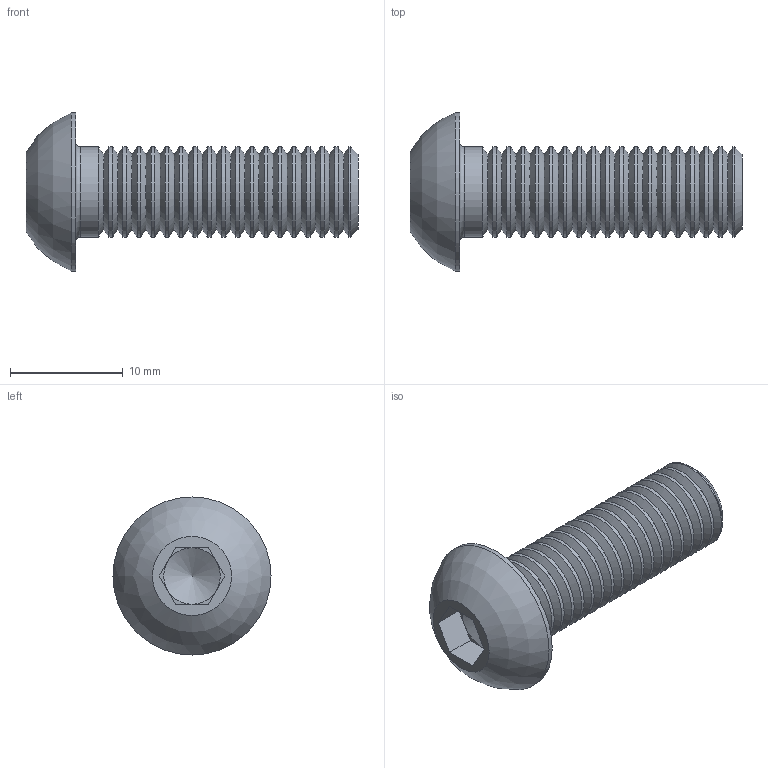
import cadquery as cq
import math


head_diameter = 14.0
head_height = 4.4
head_flat_diameter = 7.0
rim_width = 0.4

shank_diameter = 8.0
shank_length = 25.0
plain_length = 2.0
neck_fillet = 0.4
pitch = 1.25
groove_depth = 0.677
crest_width = pitch / 4
groove_width = pitch - crest_width
groove_count = 18
end_chamfer = groove_depth

socket_across_flats = 5.0
socket_depth = 2.6
socket_tip_angle = 120.0

head_radius = head_diameter / 2
head_flat_radius = head_flat_diameter / 2
shank_radius = shank_diameter / 2
overall_length = head_height + shank_length
thread_start = head_height + plain_length


def dome_arc_midpoint():
    """Middle of the dome arc, whose sphere is centred on the screw axis."""
    rim_x = head_height - rim_width
    centre_x = (rim_x**2 + head_radius**2 - head_flat_radius**2) / (2 * rim_x)
    dome_radius = math.hypot(centre_x, head_flat_radius)
    flat_angle = math.atan2(head_flat_radius, -centre_x)
    rim_angle = math.atan2(head_radius, rim_x - centre_x)
    mid_angle = (flat_angle + rim_angle) / 2
    return (
        centre_x + dome_radius * math.cos(mid_angle),
        dome_radius * math.sin(mid_angle),
    )


def revolve_about_x(profile):
    return profile.close().revolve(360, (0, 0, 0), (1, 0, 0))


def make_body():
    """Domed head with fillet, plain neck, grooved thread and end chamfer."""
    fillet_mid = neck_fillet * (1 - math.sqrt(0.5))
    profile = (
        cq.Workplane("XY")
        .lineTo(0, head_flat_radius)
        .threePointArc(dome_arc_midpoint(), (head_height - rim_width, head_radius))
        .lineTo(head_height, head_radius)
        .lineTo(head_height, shank_radius + neck_fillet)
        .threePointArc(
            (head_height + fillet_mid, shank_radius + fillet_mid),
            (head_height + neck_fillet, shank_radius),
        )
    )
    for index in range(groove_count):
        groove_start = thread_start + index * pitch
        profile = (
            profile.lineTo(groove_start, shank_radius)
            .lineTo(groove_start + groove_width / 2, shank_radius - groove_depth)
            .lineTo(groove_start + groove_width, shank_radius)
        )
    profile = (
        profile.lineTo(overall_length - end_chamfer, shank_radius)
        .lineTo(overall_length, shank_radius - end_chamfer)
        .lineTo(overall_length, 0)
    )
    return revolve_about_x(profile)


def make_socket():
    """Hexagon with flats facing +Z and -Z, ending in an inscribed cone."""
    across_corners = socket_across_flats / math.cos(math.pi / 6)
    hexagon = cq.Workplane("YZ").polygon(6, across_corners).extrude(socket_depth)
    cone_radius = socket_across_flats / 2
    cone_depth = cone_radius / math.tan(math.radians(socket_tip_angle / 2))
    cone = revolve_about_x(
        cq.Workplane("XY")
        .moveTo(socket_depth, 0)
        .lineTo(socket_depth, cone_radius)
        .lineTo(socket_depth + cone_depth, 0)
    )
    return hexagon.union(cone)


result = make_body().cut(make_socket())